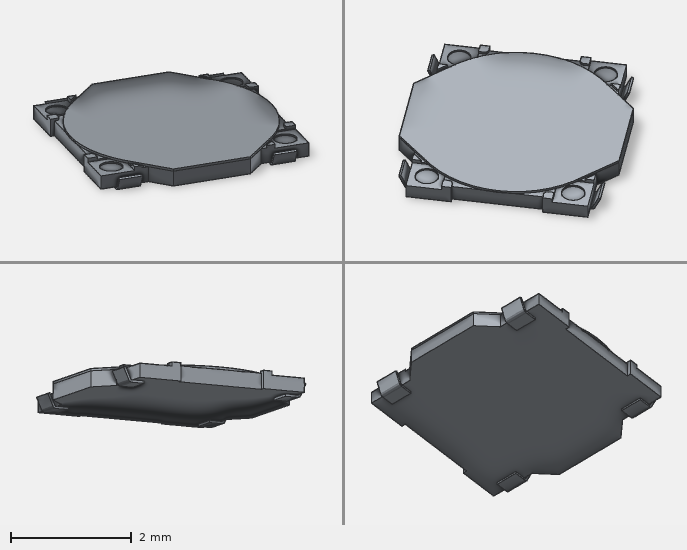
import cadquery as cq
import math

overall = 3.7
sheet = 0.04
total_height = 0.35
base_bottom = sheet
lid_bottom = total_height - sheet
pad_depth = 0.07
pad_level = total_height - pad_depth
half = overall / 2

disc_radius = 1.795
end_half_width = 0.685
shoulder_sum = half + end_half_width
shoulder_gap = math.sqrt(2 * disc_radius**2 - shoulder_sum**2)
shoulder_x = (shoulder_sum - shoulder_gap) / 2
shoulder_y = (shoulder_sum + shoulder_gap) / 2

block_half_x = 1.53
side_half_y = 1.775
block_inner_x = 0.77
tab_length = 0.17
tab_corner_radius = 0.07
pad_size = 0.6
pad_inner_x = block_half_x - pad_size
pad_inner_y = half - pad_size
rib_leg = 0.155
pad_corner_radius = 0.222
dimple_diameter = 0.39
dimple_x = block_half_x - pad_size / 2
dimple_y = half - pad_size / 2
dimple_depth = 0.03

terminal_width = 0.41
terminal_y = 1.375
terminal_inner_x = 1.317
bend_x = 1.545
bend_inner_radius = 0.022
leg_rise = math.radians(65)
leg_top = 0.26

CORNERS = [(sx, sy) for sx in (-1, 1) for sy in (-1, 1)]


def lid_outline():
    x = shoulder_x
    y = shoulder_y
    w = end_half_width
    return (
        cq.Workplane("XY")
        .moveTo(half, -w)
        .lineTo(half, w)
        .lineTo(x, y)
        .threePointArc((0, disc_radius), (-x, y))
        .lineTo(-half, w)
        .lineTo(-half, -w)
        .lineTo(-x, -y)
        .threePointArc((0, -disc_radius), (x, -y))
        .close()
    )


def make_lid():
    return lid_outline().extrude(sheet).translate((0, 0, lid_bottom))


def to_corner(shape, sx, sy):
    """Mirror a shape made for the +X +Y corner into the given corner."""
    if sx < 0:
        shape = shape.mirror("YZ")
    if sy < 0:
        shape = shape.mirror("XZ")
    return shape


def block(x0, x1, y0, y1, z0, z1):
    return cq.Workplane("XY").box(x1 - x0, y1 - y0, z1 - z0, centered=False).translate((x0, y0, z0))


def base_core():
    """Middle of the base up to the underside of the lid, with shouldered ends in X."""
    middle = block(-block_half_x, block_half_x, -side_half_y, side_half_y, base_bottom, lid_bottom)
    w = end_half_width
    y = side_half_y
    x = shoulder_sum - y
    ends = (
        cq.Workplane("XY", origin=(0, 0, base_bottom))
        .polyline([(half, -w), (half, w), (x, y), (-x, y), (-half, w), (-half, -w), (-x, -y), (x, -y)])
        .close()
        .extrude(lid_bottom - base_bottom)
    )
    return middle.union(ends)


def corner_block():
    return block(block_inner_x, block_half_x, pad_inner_y, half, base_bottom, lid_bottom)


def pad_pocket():
    """Square step in the corner with a shallow round dimple in its floor."""
    step = block(pad_inner_x, block_half_x, pad_inner_y, half, pad_level, total_height)
    step = step.edges("|Z and <X and <Y").fillet(pad_corner_radius)
    dimple = (
        cq.Workplane("XY", origin=(0, 0, pad_level - dimple_depth))
        .center(dimple_x, dimple_y)
        .circle(dimple_diameter / 2)
        .extrude(total_height - pad_level)
    )
    return step.union(dimple)


def tab():
    """Raised tab beside the pad, rounded at its free inner corner."""
    raised = block(block_inner_x, pad_inner_x, half - tab_length, half, lid_bottom, total_height)
    return raised.edges("|Z and <X and <Y").fillet(tab_corner_radius)


def rib():
    """Raised triangle between the pad and the slanted edge of the lid."""
    return (
        cq.Workplane("XY", origin=(0, 0, lid_bottom))
        .moveTo(block_half_x, pad_inner_y)
        .lineTo(block_half_x - rib_leg, pad_inner_y)
        .lineTo(block_half_x, pad_inner_y - rib_leg)
        .close()
        .extrude(sheet)
    )


def terminal():
    """Sheet terminal: a flat foot under the base, a bend and a slanted leg."""
    outer = bend_inner_radius + sheet
    inner = bend_inner_radius

    def on_bend(radius, angle):
        return (bend_x + radius * math.sin(angle), outer - radius * math.cos(angle))

    leg_length = (leg_top - on_bend(inner, leg_rise)[1]) / math.sin(leg_rise)

    def leg_end(radius):
        x, z = on_bend(radius, leg_rise)
        return (x + leg_length * math.cos(leg_rise), z + leg_length * math.sin(leg_rise))

    return (
        cq.Workplane("XZ", origin=(0, terminal_y + terminal_width / 2, 0))
        .moveTo(terminal_inner_x, 0)
        .lineTo(bend_x, 0)
        .threePointArc(on_bend(outer, leg_rise / 2), on_bend(outer, leg_rise))
        .lineTo(*leg_end(outer))
        .lineTo(*leg_end(inner))
        .lineTo(*on_bend(inner, leg_rise))
        .threePointArc(on_bend(inner, leg_rise / 2), on_bend(inner, 0))
        .lineTo(terminal_inner_x, sheet)
        .close()
        .extrude(terminal_width)
    )


def make_base():
    base = base_core()
    for sx, sy in CORNERS:
        base = base.union(to_corner(corner_block(), sx, sy))
        base = base.cut(to_corner(pad_pocket(), sx, sy))
        for feature in (tab(), rib(), terminal()):
            base = base.union(to_corner(feature, sx, sy))
    return base


lid = make_lid()
base = make_base()

result = cq.Compound.makeCompound([lid.val(), base.val()])